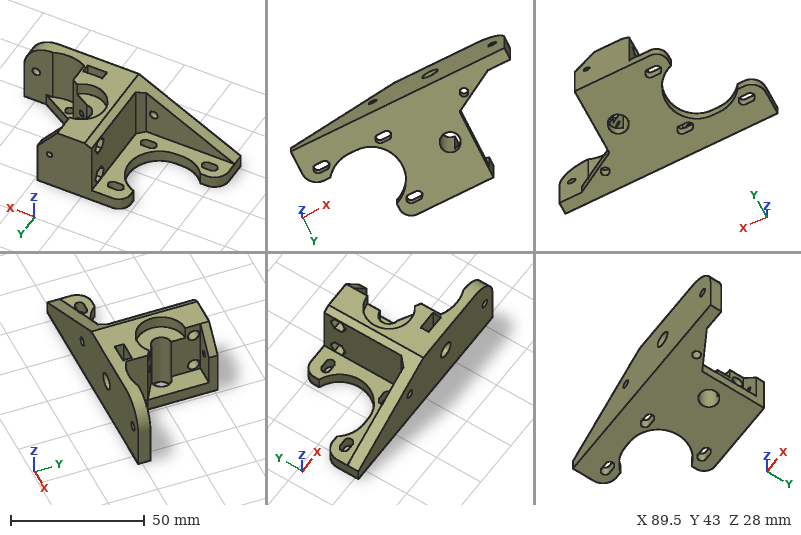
import cadquery as cq
import math

LENGTH = 89.5
DEPTH = 43.0
HEIGHT = 28.0
WALL = 5.0

SLOPE_TOP_X = 43.4
PLATE_CORNER_R = 12.0
SCREW_D = 3.3
PLATE_SCREW_XS = (34.4, 84.3)
PLATE_SCREW_Z = 14.95

BLOCK_X0 = 40.45
BLOCK_X1 = 63.5
CORNER_CHAMFER = 2.95

MOTOR_X = 20.6
MOTOR_Y = 23.5
MOTOR_TRAVEL = 2.9
MOTOR_BORE_R = 13.0
MOTOR_PITCH = 25.95
MOTOR_SLOT_W = 3.5
REAR_LOBE_X = 26.5
REAR_LOBE_R = 5.0
FRONT_LOBE_Y = 15.7
FRONT_LOBE_R = 6.1

ROD_X = 55.0
ROD_Y = MOTOR_Y
ROD_R = 3.9
SEAT_R = 9.7
SEAT_DEPTH = 5.0
RIB_W = 3.6
RIB_LOW_Z = 17.8

FOOT_TIP_X = 80.1
FOOT_ANGLE = 30.0
FOOT_SCREW_X = 68.3
FOOT_SCREW_Y = 8.6

RELIEF_X = 71.2
RELIEF_Y = 20.2
RELIEF_R = 16.4

BORE_X = 58.35
BORE_Z = 15.5
BORE_D = 6.5
PILOT_D = 2.3
NUT_FLATS = 8.1
NUT_SLOT_W = 3.6

HEX_ANGLE = math.pi / 6

BOLT_Y = 36.6
BOLT_ZS = (8.0, 23.0)
BOLT_D = 4.6
BOLT_NUT_FLATS = 5.8
BOLT_NUT_DEPTH = 8.95

FOOT_RISE = (FOOT_TIP_X - ROD_X) * math.tan(math.radians(FOOT_ANGLE))


def box(x0, x1, y0, y1, z0, z1):
    """Axis-aligned box given by its limits."""
    return cq.Workplane("XY").box(x1 - x0, y1 - y0, z1 - z0, centered=False).translate((x0, y0, z0))


def prism(points, z0, z1):
    """Vertical prism on a plan outline."""
    return cq.Workplane("XY").workplane(offset=z0).polyline(points).close().extrude(z1 - z0)


def cylinder_z(x, y, radius, z0, z1):
    return cq.Workplane("XY").workplane(offset=z0).center(x, y).circle(radius).extrude(z1 - z0)


def cylinder_y(x, z, diameter, y0, y1):
    """Cylinder along Y; the XZ plane's normal points to -Y."""
    return cq.Workplane("XZ", origin=(x, y0, z)).circle(diameter / 2).extrude(y0 - y1)


def cylinder_x(y, z, diameter, x0, x1):
    return cq.Workplane("YZ", origin=(x0, y, z)).circle(diameter / 2).extrude(x1 - x0)


def side_profile():
    """Side outline swept over the full depth; it trims every upright wall."""
    return (
        cq.Workplane("XZ")
        .moveTo(0, 0)
        .lineTo(LENGTH, 0)
        .lineTo(LENGTH, HEIGHT - PLATE_CORNER_R)
        .radiusArc((LENGTH - PLATE_CORNER_R, HEIGHT), -PLATE_CORNER_R)
        .lineTo(SLOPE_TOP_X, HEIGHT)
        .lineTo(0, WALL)
        .close()
        .extrude(-DEPTH)
    )


def motor_base():
    """Base plate with two rounded lobes, the elongated motor opening and its slots."""
    rear_lobe = box(REAR_LOBE_X, BLOCK_X0, 0, DEPTH, 0, WALL)
    rear_lobe = rear_lobe.edges("|Z and <X and >Y").fillet(REAR_LOBE_R)
    front_lobe = box(0, BLOCK_X0, 0, FRONT_LOBE_Y, 0, WALL)
    front_lobe = front_lobe.edges("|Z and <X and >Y").fillet(FRONT_LOBE_R)
    opening = (
        cq.Workplane("XY")
        .center(MOTOR_X, MOTOR_Y)
        .slot2D(2 * MOTOR_BORE_R + MOTOR_TRAVEL, 2 * MOTOR_BORE_R)
        .extrude(WALL)
    )
    half = MOTOR_PITCH / 2
    slots = (
        cq.Workplane("XY")
        .center(MOTOR_X, MOTOR_Y)
        .pushPoints([(-half, -half), (half, -half), (half, half)])
        .slot2D(MOTOR_SLOT_W + MOTOR_TRAVEL, MOTOR_SLOT_W)
        .extrude(WALL)
    )
    return rear_lobe.union(front_lobe).cut(opening).cut(slots)


def upright_walls():
    """Side plate, block and the chamfer joining them, trimmed to the side outline."""
    plate = box(0, LENGTH, 0, WALL, 0, HEIGHT)
    block = box(BLOCK_X0, BLOCK_X1, 0, DEPTH, 0, HEIGHT)
    chamfer = prism(
        [(BLOCK_X0 - CORNER_CHAMFER, WALL), (BLOCK_X0, WALL), (BLOCK_X0, WALL + CORNER_CHAMFER)],
        0,
        HEIGHT,
    )
    return plate.union(block).union(chamfer).intersect(side_profile())


def foot():
    """Triangular foot joining the base under the rod seat to the side plate."""
    return prism([(ROD_X, WALL), (FOOT_TIP_X, WALL), (ROD_X, WALL + FOOT_RISE)], 0, WALL)


def seat_opening():
    """Space removed from the block on the +X side of the rod, down to the base."""
    slope_fall = (BLOCK_X1 - ROD_X) * math.tan(math.radians(FOOT_ANGLE))
    return prism(
        [
            (ROD_X, WALL + FOOT_RISE),
            (BLOCK_X1, WALL + FOOT_RISE - slope_fall),
            (BLOCK_X1, DEPTH),
            (ROD_X, DEPTH),
        ],
        WALL,
        HEIGHT,
    )


def rear_rib():
    """Rib behind the seat opening, sloping down from the top of the block."""
    return (
        cq.Workplane("XZ", origin=(0, DEPTH, 0))
        .polyline([(ROD_X, 0), (BLOCK_X1, 0), (BLOCK_X1, RIB_LOW_Z), (ROD_X, HEIGHT)])
        .close()
        .extrude(RIB_W)
    )


def rod_seat():
    """Through hole for the rod with a wide round seat at the top."""
    hole = cylinder_z(ROD_X, ROD_Y, ROD_R, 0, HEIGHT)
    return hole.union(cylinder_z(ROD_X, ROD_Y, SEAT_R, HEIGHT - SEAT_DEPTH, HEIGHT))


def relief_corner():
    """Material between block and side plate that the relief trims to a small concave corner."""
    return box(BLOCK_X1, RELIEF_X, 0, RELIEF_Y, WALL, HEIGHT)


def plate_relief():
    """Part of a vertical cylinder beside the block, above the foot."""
    beside_block = box(BLOCK_X1, LENGTH, 0, DEPTH, WALL, HEIGHT)
    return cylinder_z(RELIEF_X, RELIEF_Y, RELIEF_R, WALL, HEIGHT).intersect(beside_block)


def tensioner():
    """Bore up to a nut slot open at the top with a hexagonal bottom, and a pilot hole beyond."""
    slot_end = WALL + NUT_SLOT_W
    bore = cylinder_y(BORE_X, BORE_Z, BORE_D, 0, WALL)
    pilot = cylinder_y(BORE_X, BORE_Z, PILOT_D, 0, DEPTH)
    half = NUT_FLATS / 2
    side_z = BORE_Z - half * math.tan(HEX_ANGLE)
    point_z = BORE_Z - half / math.cos(HEX_ANGLE)
    slot = (
        cq.Workplane("XZ", origin=(0, slot_end, 0))
        .moveTo(BORE_X - half, HEIGHT)
        .lineTo(BORE_X - half, side_z)
        .lineTo(BORE_X, point_z)
        .lineTo(BORE_X + half, side_z)
        .lineTo(BORE_X + half, HEIGHT)
        .close()
        .extrude(NUT_SLOT_W)
    )
    return bore.union(pilot).union(slot)


def clamp_bolt(z):
    """Bolt hole along X with a nut pocket in the -X face of the block."""
    corner_diameter = BOLT_NUT_FLATS / math.cos(HEX_ANGLE)
    pocket = (
        cq.Workplane("YZ", origin=(BLOCK_X0, BOLT_Y, z))
        .polygon(6, corner_diameter)
        .extrude(BOLT_NUT_DEPTH)
    )
    return cylinder_x(BOLT_Y, z, BOLT_D, BLOCK_X0, BLOCK_X1).union(pocket)


result = upright_walls().cut(seat_opening()).union(rear_rib())
result = result.union(motor_base()).union(foot())
result = result.union(relief_corner()).cut(plate_relief())
result = result.cut(rod_seat()).cut(tensioner())

for bolt_z in BOLT_ZS:
    result = result.cut(clamp_bolt(bolt_z))

for screw_x in PLATE_SCREW_XS:
    result = result.cut(cylinder_y(screw_x, PLATE_SCREW_Z, SCREW_D, 0, WALL))

result = result.cut(cylinder_z(FOOT_SCREW_X, FOOT_SCREW_Y, SCREW_D / 2, 0, WALL))